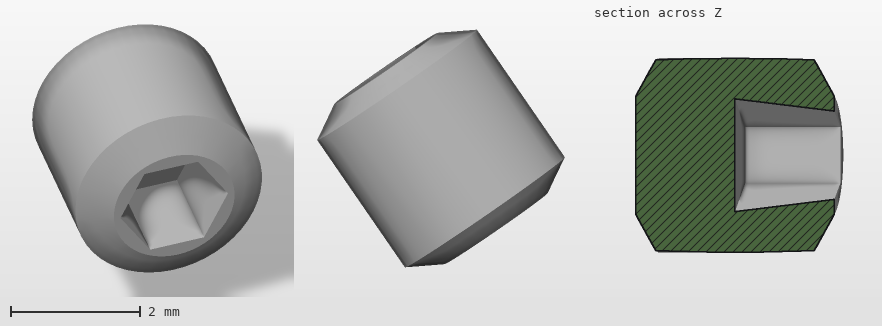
import cadquery as cq
import math

diameter = 3.0
length = diameter
end_diameter = 1.94
chamfer_angle = 30.0
tilt_angle = 12.3
socket_across_flats = diameter / 2
socket_depth = length / 2

radius = diameter / 2
end_radius = end_diameter / 2
half_length = length / 2
chamfer_length = (radius - end_radius) * math.tan(math.radians(chamfer_angle))
shoulder = half_length - chamfer_length


def make_body():
    """Cylinder with a cone at each end, revolved about the X axis."""
    return (
        cq.Workplane("XY")
        .moveTo(-half_length, 0)
        .lineTo(-half_length, end_radius)
        .lineTo(-shoulder, radius)
        .lineTo(shoulder, radius)
        .lineTo(half_length, end_radius)
        .lineTo(half_length, 0)
        .close()
        .revolve(360, (0, 0, 0), (1, 0, 0))
    )


def make_socket():
    """Hexagonal recess in the +X end, with two corners pointing along Y."""
    across_corners = socket_across_flats / math.cos(math.pi / 6)
    return (
        cq.Workplane("YZ", origin=(half_length, 0, 0))
        .polygon(6, across_corners)
        .extrude(-socket_depth)
    )


screw = make_body().cut(make_socket())
result = screw.rotate((0, 0, 0), (0, 1, 0), -tilt_angle)